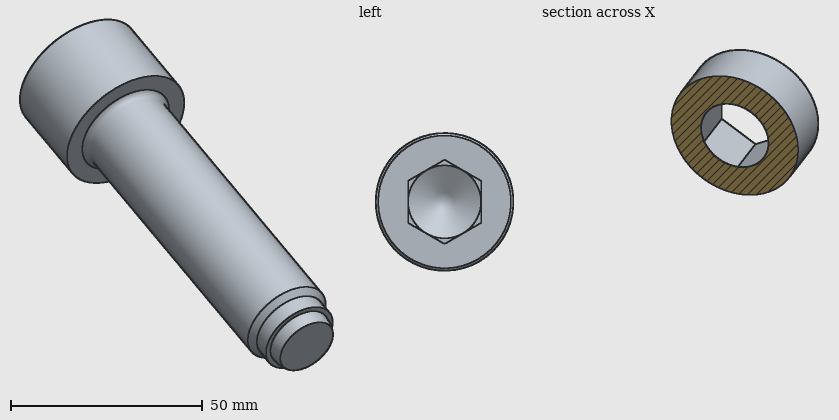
import cadquery as cq
import math

total_length = 114.0
head_diameter = 36.0
head_length = 23.9
head_chamfer_length = 0.5
head_chamfer_depth = 0.7

shank_diameter = 23.9
shank_end = 104.1
fillet_length = 2.0
fillet_height = 1.4

neck_diameter = 20.5
neck_end = 110.4
ball_radius = 8.9

socket_across_flats = 19.0
socket_depth = 14.0
socket_point_angle = 120.0

head_radius = head_diameter / 2
shank_radius = shank_diameter / 2
neck_radius = neck_diameter / 2
socket_radius = socket_across_flats / 2


def make_body():
    """Revolve the half outline of the screw about the X axis."""
    fillet_radius = (fillet_length**2 + fillet_height**2) / (2 * fillet_height)
    fillet_end = head_length + fillet_length
    fillet_mid_angle = math.asin(fillet_length / fillet_radius) / 2
    fillet_mid = (
        fillet_end - fillet_radius * math.sin(fillet_mid_angle),
        shank_radius + fillet_radius * (1 - math.cos(fillet_mid_angle)),
    )

    ball_length = total_length - neck_end
    ball_angle = math.asin(ball_length / ball_radius)
    ball_mid = (
        neck_end + ball_radius * math.sin(ball_angle / 2),
        ball_radius * math.cos(ball_angle / 2),
    )
    tip_radius = ball_radius * math.cos(ball_angle)
    shank_chamfer = shank_radius - neck_radius

    outline = (
        cq.Workplane("XY")
        .moveTo(0, 0)
        .lineTo(0, head_radius - head_chamfer_depth)
        .lineTo(head_chamfer_length, head_radius)
        .lineTo(head_length, head_radius)
        .lineTo(head_length, shank_radius + fillet_height)
        .threePointArc(fillet_mid, (fillet_end, shank_radius))
        .lineTo(shank_end, shank_radius)
        .lineTo(shank_end + shank_chamfer, neck_radius)
        .lineTo(neck_end, neck_radius)
        .lineTo(neck_end, ball_radius)
        .threePointArc(ball_mid, (total_length, tip_radius))
        .lineTo(total_length, 0)
        .close()
    )
    return outline.revolve(360, (0, 0, 0), (1, 0, 0))


def make_socket():
    """Hexagonal socket with corners on Z and a conical drill point at its floor."""
    across_corners = socket_across_flats / math.cos(math.radians(30))
    hexagon = (
        cq.Workplane("YZ")
        .transformed(rotate=(0, 0, 90))
        .polygon(6, across_corners)
        .extrude(socket_depth)
    )
    point_depth = socket_radius / math.tan(math.radians(socket_point_angle / 2))
    drill_point = (
        cq.Workplane("XY")
        .moveTo(socket_depth, 0)
        .lineTo(socket_depth, socket_radius)
        .lineTo(socket_depth + point_depth, 0)
        .close()
        .revolve(360, (0, 0, 0), (1, 0, 0))
    )
    return hexagon.union(drill_point)


result = make_body().cut(make_socket())